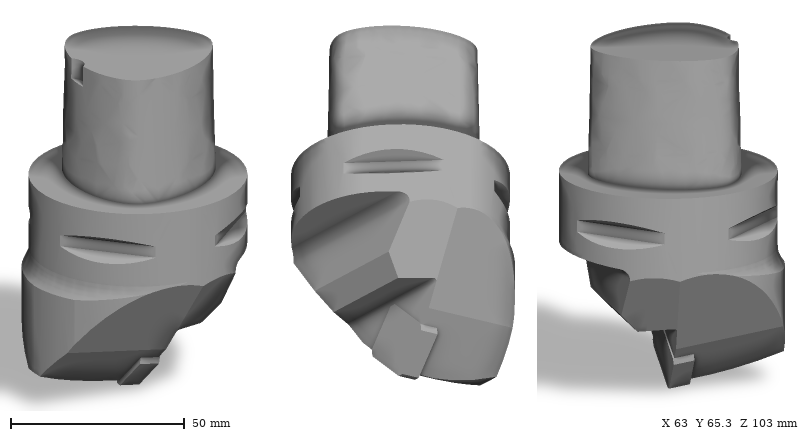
import cadquery as cq
import math

TOTAL_HEIGHT = 103.0
FLANGE_RADIUS = 31.5
FLANGE_TOP = 65.0
FLANGE_BOTTOM = 42.5

SHANK_MEAN_RADIUS = 22.1
SHANK_LOBE = 1.5
SHANK_TAPER = 0.8
SHANK_POINTS = 36
KEY_RADIUS = 4.5
KEY_CENTER_Y = -22.4
KEY_DEPTH = 6.2

SLOT_COUNT = 4
SLOT_FLOOR_DISTANCE = 28.0
SLOT_CENTER_Z = 53.0
SLOT_FLOOR_HEIGHT = 3.4
SLOT_MOUTH_HEIGHT = 7.8

BULGE_Y = -33.8
BULGE_FLAT_HALF = 0.5
BULGE_EDGE = (16.6, -29.0)
BULGE_SIDE = (28.1, -15.2)
FLARE_RADIUS = 9.0

NOSE_FRONT = (BULGE_Y, 9.6)
NOSE_MIDDLE = (-19.9, 4.7)
NOSE_REAR = (-6.2, 2.3)

BACK_Y = 18.6
BACK_CHAMFER_LOW = (13.2, 21.4)
BACK_CHAMFER_TOP = 27.3
BACK_FILLET = 2.8
RELIEF_TOP = 43.2
RELIEF_EDGE = 44.1

TILT = 8.0
RAKE_SETBACK = 0.4
HEAD_APEX = 1.1
HEAD_CORNER_X = 14.4
FLANK_SLOPE = 1.5
HEAD_TOP = 72.1
HEAD_DEPTH = 61.8
BACK_FLOOR = 23.1
BACK_DEPTH = 25.8
BACK_INSET = 0.5
CORNER_FILLET = 1.0

INSERT_HALF_WIDTH = 10.7
INSERT_TIP_HALF = 0.8
INSERT_SIDE_LAND = 2.1
INSERT_THICKNESS = 6.3

tilt = math.radians(TILT)


def rake_plane(depth):
    """Plane parallel to the rake face, the given depth toward -Y from the tip."""
    normal = cq.Vector(0, -math.cos(tilt), math.sin(tilt))
    return cq.Plane(origin=normal * depth, xDir=(1, 0, 0), normal=normal)


def mirrored(right_side):
    """Close an outline from its right side, listed from bottom to top."""
    left_side = [(-x, y) for x, y in reversed(right_side) if x > 0]
    return right_side + left_side


def shank_points(radius):
    """Three-lobed curve of constant width with one lobe toward +Y."""
    points = []
    for i in range(SHANK_POINTS):
        angle = 2 * math.pi * i / SHANK_POINTS
        support = radius - SHANK_LOBE * math.sin(3 * angle)
        slope = -3 * SHANK_LOBE * math.cos(3 * angle)
        x = support * math.cos(angle) - slope * math.sin(angle)
        y = support * math.sin(angle) + slope * math.cos(angle)
        points.append((x, y))
    return points


def make_shank():
    height = TOTAL_HEIGHT - FLANGE_TOP
    shank = (
        cq.Workplane("XY").workplane(offset=FLANGE_TOP)
        .spline(shank_points(SHANK_MEAN_RADIUS), periodic=True).close()
        .workplane(offset=height)
        .spline(shank_points(SHANK_MEAN_RADIUS - SHANK_TAPER), periodic=True).close()
        .loft(ruled=True)
    )
    key = (
        cq.Workplane("XY").workplane(offset=TOTAL_HEIGHT - KEY_DEPTH)
        .center(0, KEY_CENTER_Y).circle(KEY_RADIUS).extrude(KEY_DEPTH)
    )
    return shank.cut(key)


def make_gripper_slot(angle):
    """Slot with a flat floor and sloping upper and lower walls."""
    depth = FLANGE_RADIUS - SLOT_FLOOR_DISTANCE
    wall_run = (SLOT_MOUTH_HEIGHT - SLOT_FLOOR_HEIGHT) / 2
    outer_half = SLOT_MOUTH_HEIGHT / 2 + wall_run
    outer_distance = FLANGE_RADIUS + depth
    floor_half = SLOT_FLOOR_HEIGHT / 2
    return (
        cq.Workplane("XZ").center(0, SLOT_CENTER_Z)
        .polyline([
            (SLOT_FLOOR_DISTANCE, -floor_half),
            (outer_distance, -outer_half),
            (outer_distance, outer_half),
            (SLOT_FLOOR_DISTANCE, floor_half),
        ]).close()
        .extrude(FLANGE_RADIUS, both=True)
        .rotate((0, 0, 0), (0, 0, 1), angle)
    )


def make_flange():
    height = FLANGE_TOP - FLANGE_BOTTOM
    flange = (
        cq.Workplane("XY").workplane(offset=FLANGE_BOTTOM)
        .circle(FLANGE_RADIUS).extrude(height)
    )
    pitch = 360 / SLOT_COUNT
    for i in range(SLOT_COUNT):
        flange = flange.cut(make_gripper_slot(pitch * (i + 0.5)))
    return flange


def make_neck_column():
    """Round column with its bulge, limited by the flare below the flange."""
    edge_x, edge_y = BULGE_EDGE
    side_x, side_y = BULGE_SIDE
    column = (
        cq.Workplane("XY")
        .moveTo(-BULGE_FLAT_HALF, BULGE_Y)
        .lineTo(BULGE_FLAT_HALF, BULGE_Y)
        .threePointArc(
            (edge_x / 2, BULGE_Y + (edge_y - BULGE_Y) / 4), BULGE_EDGE)
        .threePointArc(BULGE_SIDE, (FLANGE_RADIUS, 0))
        .threePointArc((0, FLANGE_RADIUS), (-FLANGE_RADIUS, 0))
        .threePointArc((-side_x, side_y), (-edge_x, edge_y))
        .threePointArc(
            (-edge_x / 2, BULGE_Y + (edge_y - BULGE_Y) / 4), (-BULGE_FLAT_HALF, BULGE_Y))
        .close().extrude(FLANGE_BOTTOM)
    )
    diagonal = FLARE_RADIUS * math.sqrt(0.5)
    flare_edge = FLANGE_RADIUS + FLARE_RADIUS
    flare = (
        cq.Workplane("XZ")
        .lineTo(0, FLANGE_BOTTOM)
        .lineTo(FLANGE_RADIUS, FLANGE_BOTTOM)
        .threePointArc(
            (flare_edge - diagonal, FLANGE_BOTTOM - diagonal),
            (flare_edge, FLANGE_BOTTOM - FLARE_RADIUS))
        .lineTo(flare_edge, 0).close()
        .revolve(360, (0, 0, 0), (0, 1, 0))
    )
    return column.intersect(flare)


def make_head_envelope():
    """V-shaped cutting head with a narrowing block behind the rake face."""
    corner_y = HEAD_APEX + HEAD_CORNER_X

    def flank_x(y):
        return HEAD_CORNER_X + (y - corner_y) / FLANK_SLOPE

    def back_outline(inset):
        return mirrored([
            (flank_x(BACK_FLOOR) - inset, BACK_FLOOR),
            (flank_x(HEAD_TOP) - inset, HEAD_TOP),
        ])

    wedge = (
        cq.Workplane(rake_plane(RAKE_SETBACK))
        .polyline(mirrored([
            (0, HEAD_APEX), (HEAD_CORNER_X, corner_y), (flank_x(HEAD_TOP), HEAD_TOP),
        ])).close().extrude(HEAD_DEPTH)
    )
    back = (
        cq.Workplane(rake_plane(RAKE_SETBACK))
        .polyline(back_outline(0)).close()
        .workplane(offset=-BACK_DEPTH)
        .polyline(back_outline(BACK_INSET * BACK_DEPTH)).close()
        .loft(ruled=True)
    )
    corner = rake_plane(RAKE_SETBACK).toWorldCoords((0, BACK_FLOOR))
    return (
        wedge.union(back)
        .edges(cq.selectors.NearestToPointSelector(corner.toTuple()))
        .fillet(CORNER_FILLET)
    )


def make_nose_relief():
    """Material below the curved underside of the nose."""
    return (
        cq.Workplane("YZ")
        .moveTo(*NOSE_FRONT)
        .threePointArc(NOSE_MIDDLE, NOSE_REAR)
        .lineTo(NOSE_REAR[0], 0)
        .lineTo(BULGE_Y, 0)
        .close().extrude(FLANGE_RADIUS, both=True)
    )


def make_back_relief():
    """Material behind the neck and under the back of the flange."""
    corner_top = RELIEF_TOP - BACK_FILLET
    diagonal = BACK_FILLET * (1 - math.sqrt(0.5))
    return (
        cq.Workplane("YZ")
        .moveTo(*BACK_CHAMFER_LOW)
        .lineTo(BACK_Y, BACK_CHAMFER_TOP)
        .lineTo(BACK_Y, corner_top)
        .threePointArc(
            (BACK_Y + diagonal, RELIEF_TOP - diagonal), (BACK_Y + BACK_FILLET, RELIEF_TOP))
        .lineTo(FLANGE_RADIUS, RELIEF_EDGE)
        .lineTo(FLANGE_RADIUS, 0)
        .lineTo(BACK_CHAMFER_LOW[0], 0)
        .close().extrude(FLANGE_RADIUS, both=True)
    )


def make_insert():
    side_low = INSERT_HALF_WIDTH - INSERT_TIP_HALF
    side_high = side_low + INSERT_SIDE_LAND
    outline = mirrored([
        (INSERT_TIP_HALF, 0),
        (INSERT_HALF_WIDTH, side_low),
        (INSERT_HALF_WIDTH, side_high),
        (INSERT_TIP_HALF, side_low + side_high),
    ])
    return cq.Workplane(rake_plane(0)).polyline(outline).close().extrude(INSERT_THICKNESS)


def make_holder(insert):
    neck = make_neck_column().intersect(make_head_envelope()).cut(make_nose_relief())
    holder = make_shank().union(make_flange()).union(neck)
    return holder.cut(make_back_relief()).cut(insert)


cutting_insert = make_insert()
holder = make_holder(cutting_insert)

result = cq.Compound.makeCompound([holder.solids().val(), cutting_insert.val()])